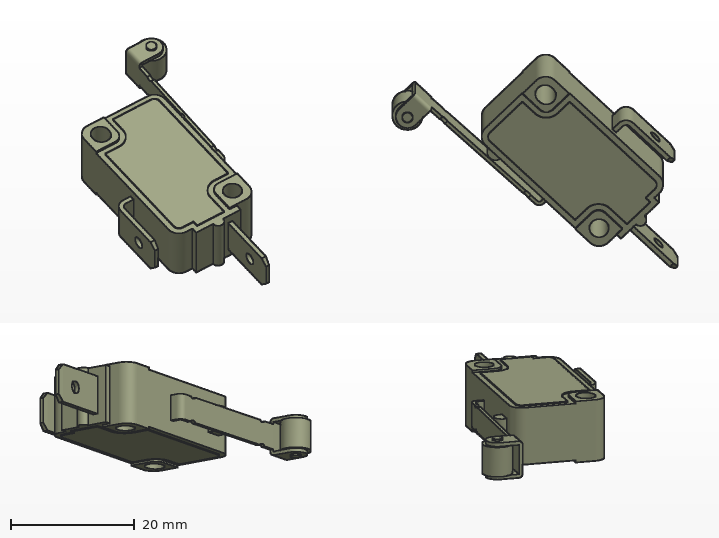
import cadquery as cq

OVERALL_LENGTH = 51.95
OVERALL_WIDTH = 27.3

ROUND_END = 0.999
EMBED = 0.5

BODY_LENGTH = 27.9
BODY_WIDTH = 15.95
BODY_HEIGHT = 10.3
CORNER_RADIUS = 2.1
LEVEL_STEP = 0.18
BORDER = 1.05
PAD_TOP = BODY_HEIGHT / 2
PANEL_TOP = PAD_TOP - LEVEL_STEP
BORDER_TOP = PANEL_TOP - LEVEL_STEP

PAD_LENGTH = 5.45
PAD_WIDTH = 5.35
PAD_RADIUS = 1.55
HOLE_DIAMETER = 3.1
HOLE_INSET = 2.8
SLOT_STRETCH = 0.3

TAB_FRONT = 4.2
TAB_BACK = BODY_WIDTH - PAD_WIDTH - BORDER

BLOCK_FRONT = 3.3
BLOCK_BACK = 12.05
BLOCK_DEPTH = 1.1
BLOCK_END = BODY_LENGTH + BLOCK_DEPTH
BUMP_DIAMETER = 2.0
BUMP_Y = 7.6

BLADE_WIDTH = 6.3
BLADE_THICKNESS = 0.85
BLADE_TIP = 1.1
TIP_THICKNESS = 0.6
BLADE_HOLE = 2.0
BLADE_HOLE_TO_END = 4.45
SIDE_BLADE_END = 39.55
SIDE_BLADE_Y = 10.0
FRONT_BLADE_END = 26.35
FRONT_BLADE_LEFT = 15.2
FRONT_BLADE_FACE = -3.1
FRONT_BLADE_RADIUS = 1.65

ROLLER_DIAMETER = 4.95
ROLLER_WIDTH = 4.95
ARM_Z = -0.3
ROLLER_X = SIDE_BLADE_END - OVERALL_LENGTH + ROLLER_DIAMETER / 2
ROLLER_Y = FRONT_BLADE_FACE + OVERALL_WIDTH - ROLLER_DIAMETER / 2
AXLE_DIAMETER = 1.7
AXLE_LENGTH = 6.8
SHEET = 0.6
BRACKET_LENGTH = 3.8
BRACKET_FACE = 18.0
BRACKET_HEIGHT = ROLLER_WIDTH + 2 * SHEET
BRACKET_BEND = 0.7
BRACKET_END = ROLLER_X + BRACKET_LENGTH / 2

LEVER_HEIGHT = 4.2
NOTCH_POSITIONS = (-5.15, 13.4)
LEVER_HEEL_FACE = 17.5
LEVER_END = 16.5
LEVER_BEND_RADIUS = 1.05
NOTCH_DIAMETER = 1.4
NOTCH_DEPTH = 0.285

PLUNGER_X = 4.8
PLUNGER_DIAMETER = 2.7
PLUNGER_TOP = 17.7
PLUNGER_HEIGHT = 4.35


def plate(x_range, y_range, top):
    """Box between X and Y limits that is symmetric about Z = 0."""
    left, right = x_range
    front, back = y_range
    blank = cq.Workplane("XY").box(right - left, back - front, 2 * top)
    return blank.translate(((left + right) / 2, (front + back) / 2, 0))


def rounded_body(inset, radius, top):
    """Housing outline moved inward, with round vertical corners."""
    blank = plate((inset, BODY_LENGTH - inset), (inset, BODY_WIDTH - inset), top)
    return blank.edges("|Z").fillet(radius)


def corner_pads(margin, top):
    """Pads at the lower left and upper right corners, enlarged by a margin."""
    length = PAD_LENGTH + margin
    width = PAD_WIDTH + margin
    radius = PAD_RADIUS + margin
    left = plate((0, length), (0, width), top).edges("|Z and >X and >Y").fillet(radius)
    right = plate((BODY_LENGTH - length, BODY_LENGTH), (BODY_WIDTH - width, BODY_WIDTH), top)
    return left.union(right.edges("|Z and <X and <Y").fillet(radius))


def make_housing():
    outline = rounded_body(0, CORNER_RADIUS, PAD_TOP)
    pads = corner_pads(0, PAD_TOP).intersect(outline)
    tab = plate((BODY_LENGTH / 2, BODY_LENGTH), (TAB_FRONT, TAB_BACK), PANEL_TOP)
    panel = rounded_body(BORDER, BORDER, PANEL_TOP).union(tab).cut(corner_pads(BORDER, PAD_TOP))
    block = plate((BODY_LENGTH - EMBED, BLOCK_END), (BLOCK_FRONT, BLOCK_BACK), BORDER_TOP)
    bump = (
        cq.Workplane("XY", origin=(BLOCK_END, BUMP_Y, -BORDER_TOP))
        .circle(BUMP_DIAMETER / 2)
        .extrude(2 * BORDER_TOP)
    )
    housing = rounded_body(0, CORNER_RADIUS, BORDER_TOP)
    for piece in (panel, pads, block, bump):
        housing = housing.union(piece)
    return housing


def cut_mounting_holes(housing):
    round_hole = (
        cq.Workplane("XY", origin=(BODY_LENGTH - HOLE_INSET, BODY_WIDTH - HOLE_INSET, -PAD_TOP))
        .circle(HOLE_DIAMETER / 2)
        .extrude(BODY_HEIGHT)
    )
    slot = (
        cq.Workplane("XY", origin=(HOLE_INSET, HOLE_INSET, -PAD_TOP))
        .slot2D(HOLE_DIAMETER + SLOT_STRETCH, HOLE_DIAMETER)
        .extrude(BODY_HEIGHT)
    )
    return housing.cut(round_hole).cut(slot)


def make_blade(start, end, middle):
    """Flat blade along X with a hole and a tip tapered in width and thickness."""
    half_width = BLADE_WIDTH / 2
    half = BLADE_THICKNESS / 2
    half_tip = TIP_THICKNESS / 2
    shoulder = end - BLADE_TIP
    edge = [(start, -half), (shoulder, -half), (end, -half_tip)]
    edge += [(x, -y) for x, y in reversed(edge)]
    blade = (
        cq.Workplane("XY", origin=(0, middle, -half_width))
        .polyline(edge)
        .close()
        .extrude(BLADE_WIDTH)
    )
    face = [(start, -half_width), (shoulder, -half_width), (end, BLADE_TIP - half_width)]
    face += [(x, -z) for x, z in reversed(face)]
    face_plane = cq.Workplane("XZ", origin=(0, middle + half, 0))
    outline = face_plane.polyline(face).close().extrude(BLADE_THICKNESS)
    hole = face_plane.center(end - BLADE_HOLE_TO_END, 0).circle(BLADE_HOLE / 2).extrude(BLADE_THICKNESS)
    return blade.intersect(outline).cut(hole)


def make_front_blade():
    """Blade that leaves the front of the housing and bends toward +X."""
    bend_end = FRONT_BLADE_LEFT + FRONT_BLADE_RADIUS
    bend_top = FRONT_BLADE_FACE + FRONT_BLADE_RADIUS
    inner_radius = FRONT_BLADE_RADIUS - BLADE_THICKNESS
    leg = (
        cq.Workplane("XY", origin=(0, 0, -BLADE_WIDTH / 2))
        .moveTo(FRONT_BLADE_LEFT, EMBED)
        .lineTo(FRONT_BLADE_LEFT, bend_top)
        .radiusArc((bend_end, FRONT_BLADE_FACE), -FRONT_BLADE_RADIUS)
        .lineTo(bend_end, FRONT_BLADE_FACE + BLADE_THICKNESS)
        .radiusArc((FRONT_BLADE_LEFT + BLADE_THICKNESS, bend_top), inner_radius)
        .lineTo(FRONT_BLADE_LEFT + BLADE_THICKNESS, EMBED)
        .close()
        .extrude(BLADE_WIDTH)
    )
    middle = FRONT_BLADE_FACE + BLADE_THICKNESS / 2
    return leg.union(make_blade(bend_end, FRONT_BLADE_END, middle))


def make_roller_bracket():
    """U-shaped bracket with round ears, holding the roller and its axle."""
    left = ROLLER_X - BRACKET_LENGTH / 2
    ear_radius = BRACKET_LENGTH / 2
    half = BRACKET_HEIGHT / 2
    bracket = plate((left, BRACKET_END), (BRACKET_FACE, ROLLER_Y + ear_radius), half)
    bracket = bracket.edges("|X and <Y").fillet(BRACKET_BEND)
    bracket = bracket.edges("|Z and >Y").fillet(ear_radius * ROUND_END)
    opening = plate((left, BRACKET_END), (BRACKET_FACE + SHEET, ROLLER_Y + ear_radius), ROLLER_WIDTH / 2)
    bracket = bracket.cut(opening)
    for diameter, length in ((ROLLER_DIAMETER, ROLLER_WIDTH), (AXLE_DIAMETER, AXLE_LENGTH)):
        cylinder = (
            cq.Workplane("XY", origin=(ROLLER_X, ROLLER_Y, -length / 2))
            .circle(diameter / 2)
            .extrude(length)
        )
        bracket = bracket.union(cylinder)
    return bracket


def make_lever():
    """Bent strip from the roller bracket to its root in the housing."""
    root = BODY_WIDTH - EMBED
    heel_back = LEVER_HEEL_FACE + SHEET
    bend_start = LEVER_END - LEVER_BEND_RADIUS
    bend_end = heel_back - LEVER_BEND_RADIUS
    inner_radius = LEVER_BEND_RADIUS - SHEET
    strip = (
        cq.Workplane("XY", origin=(0, 0, -LEVER_HEIGHT / 2))
        .moveTo(BRACKET_END, BRACKET_FACE + SHEET)
        .lineTo(bend_start, heel_back)
        .radiusArc((LEVER_END, bend_end), LEVER_BEND_RADIUS)
        .lineTo(LEVER_END, root)
        .lineTo(LEVER_END - SHEET, root)
        .lineTo(LEVER_END - SHEET, bend_end)
        .radiusArc((bend_start, LEVER_HEEL_FACE), -inner_radius)
        .lineTo(BRACKET_END, BRACKET_FACE)
        .close()
        .extrude(LEVER_HEIGHT)
    )
    notch_offset = LEVER_HEIGHT / 2 + NOTCH_DIAMETER / 2 - NOTCH_DEPTH
    notches = (
        cq.Workplane("XZ", origin=(0, ROLLER_Y, 0))
        .pushPoints([(x, z) for x in NOTCH_POSITIONS for z in (-notch_offset, notch_offset)])
        .circle(NOTCH_DIAMETER / 2)
        .extrude(ROLLER_Y - BODY_WIDTH)
    )
    return strip.cut(notches)


def make_plunger():
    radius = PLUNGER_DIAMETER / 2
    x_range = (PLUNGER_X - radius, PLUNGER_X + radius)
    blank = plate(x_range, (BODY_WIDTH - EMBED, PLUNGER_TOP), PLUNGER_HEIGHT / 2)
    return blank.edges("|Z and >Y").fillet(radius * ROUND_END)


result = cut_mounting_holes(make_housing())
side_blade = make_blade(BLOCK_END - EMBED, SIDE_BLADE_END, SIDE_BLADE_Y)
arm = make_lever().union(make_roller_bracket()).translate((0, 0, ARM_Z))
for piece in (side_blade, make_front_blade(), make_plunger(), arm):
    result = result.union(piece)